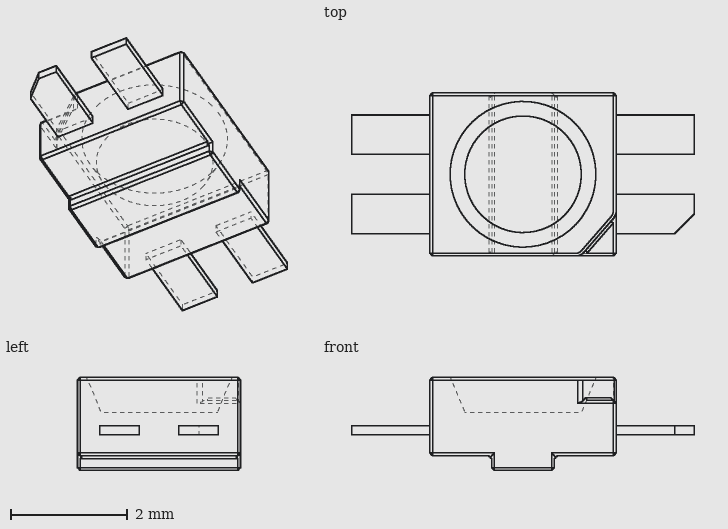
import cadquery as cq

BODY_LENGTH = 3.2
BODY_DEPTH = 2.8
BODY_HEIGHT = 1.35
FOOT_LENGTH = 1.08
FOOT_HEIGHT = 0.25
EDGE_CHAMFER = 0.05

NOTCH_LENGTH = 0.61
NOTCH_WIDTH = 0.7
NOTCH_DEPTH = 0.4

CUP_TOP_DIAMETER = 2.5
CUP_FLOOR_DIAMETER = 2.0
CUP_DEPTH = 0.6

LEAD_SPAN = 5.88
LEAD_WIDTH = 0.68
LEAD_PITCH = 2 * LEAD_WIDTH
LEAD_THICKNESS = 0.16
LEAD_BOTTOM_Z = 0.61
LEAD_CORNER_CUT = LEAD_WIDTH / 2

TOP_Z = FOOT_HEIGHT + BODY_HEIGHT


def make_inside_corner_selector():
    """Select the inside corner edges: both sides of the foot, and the foot of the notch wall."""
    margin = EDGE_CHAMFER / 2
    foot_corners = cq.selectors.BoxSelector(
        (-FOOT_LENGTH / 2 - margin, -margin, FOOT_HEIGHT - margin),
        (FOOT_LENGTH / 2 + margin, margin, FOOT_HEIGHT + margin),
    )
    notch_wall_x = (BODY_LENGTH - NOTCH_LENGTH) / 2
    notch_wall_y = (NOTCH_WIDTH - BODY_DEPTH) / 2
    notch_floor_z = TOP_Z - NOTCH_DEPTH
    notch_corner = cq.selectors.BoxSelector(
        (notch_wall_x - margin, notch_wall_y - margin, notch_floor_z - margin),
        (notch_wall_x + margin, notch_wall_y + margin, notch_floor_z + margin),
    )
    return foot_corners + notch_corner


def make_housing():
    """T-shaped block with its corner step; outer edges are chamfered first, then inside corners."""
    half_body = BODY_LENGTH / 2
    half_foot = FOOT_LENGTH / 2
    block = (
        cq.Workplane("XZ")
        .polyline([
            (-half_foot, 0),
            (half_foot, 0),
            (half_foot, FOOT_HEIGHT),
            (half_body, FOOT_HEIGHT),
            (half_body, TOP_Z),
            (-half_body, TOP_Z),
            (-half_body, FOOT_HEIGHT),
            (-half_foot, FOOT_HEIGHT),
        ])
        .close()
        .extrude(BODY_DEPTH / 2, both=True)
    )
    corner_x = half_body
    corner_y = -BODY_DEPTH / 2
    notch = (
        cq.Workplane("XY", origin=(0, 0, TOP_Z - NOTCH_DEPTH))
        .polyline([
            (corner_x, corner_y),
            (corner_x, corner_y + NOTCH_WIDTH),
            (corner_x - NOTCH_LENGTH, corner_y),
        ])
        .close()
        .extrude(NOTCH_DEPTH)
    )
    stepped_block = block.cut(notch)
    inside_corners = make_inside_corner_selector()
    all_edges = cq.selectors.BoxSelector(
        (-BODY_LENGTH, -BODY_DEPTH, -TOP_Z),
        (BODY_LENGTH, BODY_DEPTH, 2 * TOP_Z),
    )
    return (
        stepped_block.edges(all_edges - inside_corners)
        .chamfer(EDGE_CHAMFER)
        .edges(inside_corners)
        .chamfer(EDGE_CHAMFER)
    )


def make_cup():
    """Conical recess that narrows from the top face down to a flat floor."""
    return (
        cq.Workplane("XY", origin=(0, 0, TOP_Z))
        .circle(CUP_TOP_DIAMETER / 2)
        .workplane(offset=-CUP_DEPTH)
        .circle(CUP_FLOOR_DIAMETER / 2)
        .loft(ruled=True)
    )


def make_lead_bar(center_y):
    """One straight bar through the housing, forming a lead at each end."""
    return (
        cq.Workplane("XY", origin=(0, center_y, LEAD_BOTTOM_Z))
        .rect(LEAD_SPAN, LEAD_WIDTH)
        .extrude(LEAD_THICKNESS)
    )


rear_leads = make_lead_bar(LEAD_PITCH / 2)
front_leads = (
    make_lead_bar(-LEAD_PITCH / 2)
    .edges("|Z and >X and <Y")
    .chamfer(LEAD_CORNER_CUT)
)

result = make_housing().union(rear_leads).union(front_leads).cut(make_cup())